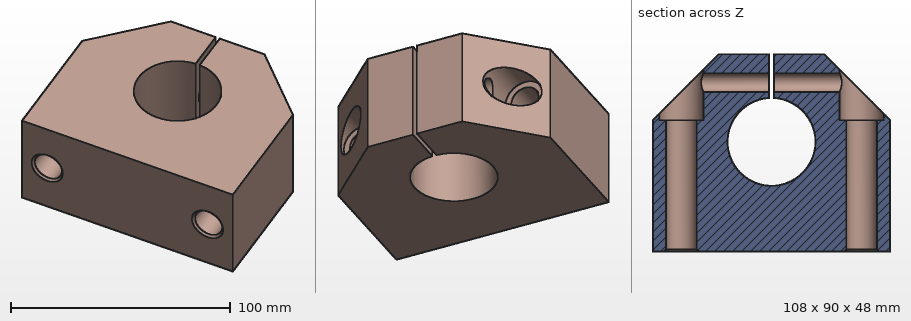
import cadquery as cq

width = 108.0
depth = 90.0
height = 48.0
corner_cut = 30.0

bore_diameter = 40.0
bore_from_front = 50.0
slot_width = 2.0

mount_diameter = 13.8
mount_rim_diameter = 16.0
mount_from_side = 13.0
relief_diameter = 20.0

clamp_diameter = 8.4
clamp_from_back = 13.0

mid_height = height / 2
mount_x = width / 2 - mount_from_side
rim_depth = (mount_rim_diameter - mount_diameter) / 2
corner_foot = depth - corner_cut
clamp_y = depth - clamp_from_back


def make_block():
    """Block standing on Z = 0, front face on Y = 0, with the back corners cut."""
    block = cq.Workplane("XY").box(width, depth, height, centered=(True, False, False))
    return block.edges("|Z and >Y").chamfer(corner_cut)


def make_shaft_opening():
    """Vertical bore joined with the slot that reaches the back face."""
    bore = (
        cq.Workplane("XY")
        .center(0, bore_from_front)
        .circle(bore_diameter / 2)
        .extrude(height)
    )
    slot = (
        cq.Workplane("XY")
        .center(0, bore_from_front)
        .box(slot_width, depth - bore_from_front, height, centered=(True, False, False))
    )
    return bore.union(slot)


def make_mount_hole(x):
    """Stepped hole revolved about its Y axis: chamfered mouth, bore, wide relief."""
    profile = (
        cq.Workplane("XY")
        .workplane(offset=mid_height)
        .center(x, 0)
        .lineTo(mount_rim_diameter / 2, 0)
        .lineTo(mount_diameter / 2, rim_depth)
        .lineTo(mount_diameter / 2, corner_foot)
        .lineTo(relief_diameter / 2, corner_foot)
        .lineTo(relief_diameter / 2, depth)
        .lineTo(0, depth)
        .close()
    )
    return profile.revolve(360, (0, 0, 0), (0, 1, 0))


def make_clamp_hole():
    """Plain hole along X through both clamping halves."""
    return (
        cq.Workplane("YZ")
        .center(clamp_y, mid_height)
        .circle(clamp_diameter / 2)
        .extrude(width / 2, both=True)
    )


result = make_block().cut(make_shaft_opening())
for side in (-1, 1):
    result = result.cut(make_mount_hole(side * mount_x))
result = result.cut(make_clamp_hole())